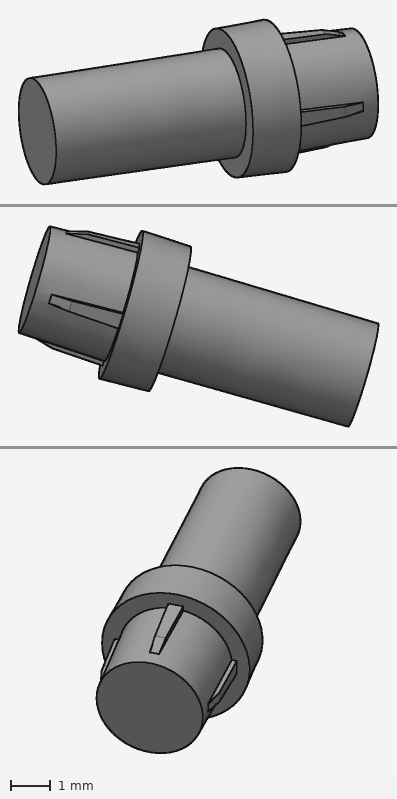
import cadquery as cq

total_length = 8.64
plug_length = 2.27
collar_length = 1.28
shaft_end_radius = 1.36
shaft_root_radius = 1.39
collar_front_radius = 1.9
collar_back_radius = 1.94
plug_root_radius = 1.49
plug_tip_radius = 1.4

rib_count = 4
rib_tip_setback = 0.415
rib_ramp_length = 0.53
rib_root_radius = 1.61
rib_knee_radius = 1.555
rib_root_width = 0.4
rib_tip_width = 0.24

plug_tip = total_length / 2
shaft_end = -total_length / 2
collar_back = plug_tip - plug_length
collar_front = collar_back - collar_length
rib_tip = plug_tip - rib_tip_setback
rib_knee = rib_tip - rib_ramp_length


def make_body():
    """Revolve the shaft, collar and plug as one profile about Y."""
    profile = [
        (0, shaft_end),
        (shaft_end_radius, shaft_end),
        (shaft_root_radius, collar_front),
        (collar_front_radius, collar_front),
        (collar_back_radius, collar_back),
        (plug_root_radius, collar_back),
        (plug_tip_radius, plug_tip),
        (0, plug_tip),
    ]
    return cq.Workplane("XY").polyline(profile).close().revolve(360, (0, 0), (0, 1))


def make_rib():
    """Intersect the rib's side profile with its tapered plan; the rib points along +X."""
    tip_fraction = rib_tip_setback / plug_length
    rib_tip_radius = plug_tip_radius + tip_fraction * (plug_root_radius - plug_tip_radius)
    side_profile = [
        (0, collar_back),
        (rib_root_radius, collar_back),
        (rib_knee_radius, rib_knee),
        (rib_tip_radius, rib_tip),
        (0, rib_tip),
    ]
    plan = [
        (collar_back, -rib_root_width / 2),
        (rib_tip, -rib_tip_width / 2),
        (rib_tip, rib_tip_width / 2),
        (collar_back, rib_root_width / 2),
    ]
    side = cq.Workplane("XY").polyline(side_profile).close()
    side = side.extrude(rib_root_width / 2, both=True)
    taper = cq.Workplane("YZ").polyline(plan).close().extrude(rib_root_radius)
    return side.intersect(taper)


result = make_body()
rib = make_rib()
for index in range(rib_count):
    angle = index * 360 / rib_count
    result = result.union(rib.rotate((0, 0, 0), (0, 1, 0), angle))